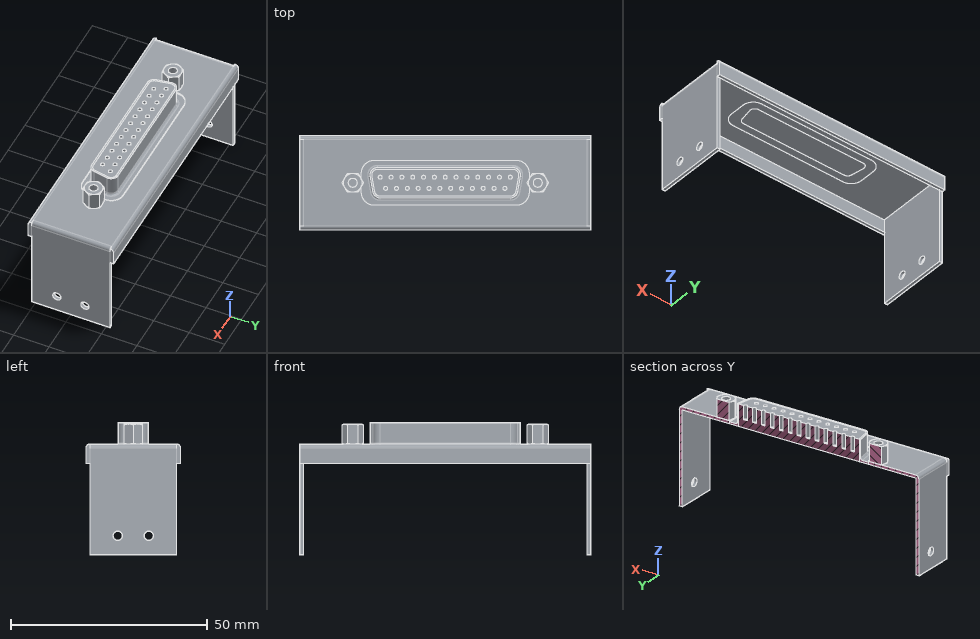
import cadquery as cq
import math

sheet = 1.016
bracket_length = 74.168
bracket_width = 24.13
leg_width = bracket_width - 2 * sheet
leg_height = 28.2
flange_height = 5.0

leg_hole_diameter = 2.3
leg_hole_spacing = 7.9
leg_hole_edge_distance = 4.85

opening_length = 42.8
opening_width = 11.4
opening_radius = 3.3

shell_rise = 5.42
shell_width = 7.74
shell_bottom_length = 36.3
shell_side_angle = 10.0
shell_corner_radius = 1.9
shell_wall = 0.45
shell_base_fillet = 0.55
plate_recess = 0.3

contact_pitch = 2.76
contact_row_spacing = 2.84
contact_diameter = 1.0
contact_depth = 4.0
contacts_per_row = {1: 13, -1: 12}

jack_spacing = 47.1
jack_height = 5.08
jack_across_flats = 4.75
jack_bore = 2.3
jack_chamfer_angle = 30.0


def block(length, width, z_bottom, z_top):
    """Box centred on X and Y between two heights."""
    return cq.Workplane("XY", origin=(0, 0, z_bottom)).rect(length, width).extrude(z_top - z_bottom)


def opening_plug(z_top):
    """Rounded block that fills the connector opening up to the given height."""
    return block(opening_length, opening_width, -sheet, z_top).edges("|Z").fillet(opening_radius)


def d_prism(inset, z_bottom, z_top):
    """Prism of the shell's D outline, moved inward by the inset."""
    slope = math.tan(math.radians(shell_side_angle))
    half_bottom = shell_bottom_length / 2
    half_top = half_bottom + shell_width * slope
    half_width = shell_width / 2
    outline = (
        cq.Workplane("XY", origin=(0, 0, z_bottom))
        .polyline([
            (-half_bottom, -half_width),
            (half_bottom, -half_width),
            (half_top, half_width),
            (-half_top, half_width),
        ])
        .close()
        .extrude(z_top - z_bottom)
        .edges("|Z")
        .fillet(shell_corner_radius)
    )
    if inset == 0:
        return outline
    return outline.faces("<Z").wires().toPending().offset2D(-inset).extrude(z_top - z_bottom, combine=False)


def make_bracket():
    """Top sheet with two long legs at the ends and two short flanges at the sides."""
    leg_frame = (
        block(bracket_length, leg_width, -leg_height, 0)
        .edges("|Y and >Z")
        .fillet(sheet)
        .cut(block(bracket_length - 2 * sheet, leg_width, -leg_height, -sheet))
    )
    flange_frame = (
        block(bracket_length, bracket_width, -flange_height, 0)
        .edges("|X and >Z")
        .fillet(sheet)
        .cut(block(bracket_length, leg_width, -flange_height, 0))
    )
    leg_holes = (
        cq.Workplane("YZ", origin=(0, 0, leg_hole_edge_distance - leg_height))
        .pushPoints([(-leg_hole_spacing / 2, 0), (leg_hole_spacing / 2, 0)])
        .circle(leg_hole_diameter / 2)
        .extrude(bracket_length, both=True)
    )
    return leg_frame.union(flange_frame, clean=False).cut(leg_holes, clean=False).cut(opening_plug(0), clean=False)


def make_shell():
    """Base plate just below the top of the opening, with the hollow D-shaped wall rising from it."""
    plate_top = -plate_recess
    reach_x = (opening_length - shell_wall) / 2
    reach_y = (shell_width + shell_wall) / 2
    base_line = cq.selectors.BoxSelector(
        (-reach_x, -reach_y, plate_top - shell_wall / 2),
        (reach_x, reach_y, plate_top + shell_wall / 2),
    )
    return (
        opening_plug(plate_top)
        .union(d_prism(0, plate_top, shell_rise))
        .edges(base_line)
        .fillet(shell_base_fillet)
        .cut(d_prism(shell_wall, -sheet, shell_rise))
    )


def make_insert():
    """Insulator that fills the shell, with two rows of contact sockets."""
    insert = d_prism(shell_wall, -sheet, shell_rise)
    for side, count in contacts_per_row.items():
        sockets = (
            cq.Workplane("XY", origin=(0, side * contact_row_spacing / 2, shell_rise - contact_depth))
            .rarray(contact_pitch, 1, count, 1)
            .circle(contact_diameter / 2)
            .extrude(contact_depth)
        )
        insert = insert.cut(sockets)
    return insert


def make_jack_socket(x):
    """Bored hexagonal standoff on the top face, its corners turned down at both ends."""
    corner_radius = jack_across_flats / math.sqrt(3)
    flat_radius = jack_across_flats / 2
    corner_drop = (corner_radius - flat_radius) * math.tan(math.radians(jack_chamfer_angle))
    hexagon = cq.Workplane("XY").polygon(6, 2 * corner_radius).extrude(jack_height)
    turned_blank = (
        cq.Workplane("XZ")
        .polyline([
            (jack_bore / 2, 0),
            (flat_radius, 0),
            (corner_radius, corner_drop),
            (corner_radius, jack_height - corner_drop),
            (flat_radius, jack_height),
            (jack_bore / 2, jack_height),
        ])
        .close()
        .revolve(360, (0, 0, 0), (0, 1, 0))
    )
    return hexagon.intersect(turned_blank).translate((x, 0, 0))


bracket = make_bracket()
shell = make_shell()
insert = make_insert()
jack_sockets = [make_jack_socket(side * jack_spacing / 2) for side in (-1, 1)]

result = cq.Compound.makeCompound([
    bracket.val(),
    shell.val(),
    insert.val(),
    *[jack.val() for jack in jack_sockets],
])